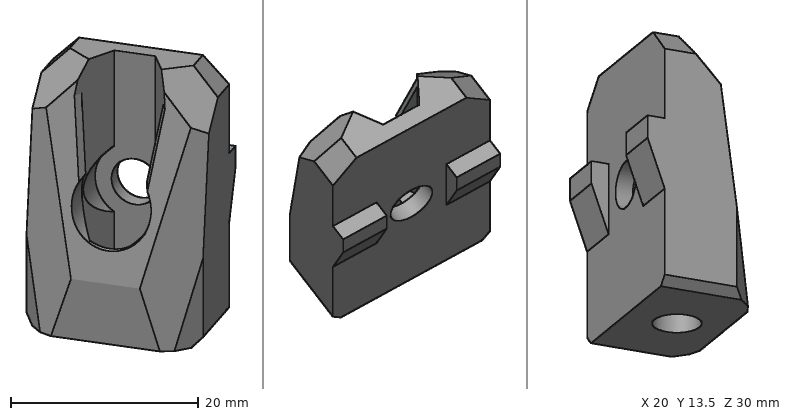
import cadquery as cq
import math

width = 20.0
height = 30.0
depth = 11.5
half_width = width / 2

top_chamfer = 3.0
bottom_chamfer = 1.0
front_chamfer = 3.0

slope_start_z = 7.02
slope_top_y = -6.0
front_half_width_bottom = 6.18
front_half_width_top = 3.9
flank_tip_z = 10.2

facet_top_y = -3.0
facet_inner_x = 4.1
facet_inner_y = -5.13
facet_side_y = -3.7

hex_flats = 8.0
hex_center_y = -6.0
hex_floor_z = 5.0
hex_corner_x = hex_flats / math.sqrt(3)
bolt_diameter = 5.3
cross_hole_z = 15.0
counterbore_diameter = 9.0
counterbore_seat_y = hex_center_y + hex_flats / 2

flare_draft_start_z = 26.3
flare_draft_angle = 13.5
flank_angle = 30.0

tab_width = 5.55
tab_depth = 13.5 - depth
tab_top_z = 19.0
tab_shoulder_z = 16.4
tab_bottom_z = 10.9

clearance = 6.0


def mirrored_pair(solid):
    return solid.union(solid.mirror("YZ"))


def half_space(point_a, point_b, point_c):
    """Large block beyond the plane through three points, on its -Y side."""
    a, b, c = cq.Vector(*point_a), cq.Vector(*point_b), cq.Vector(*point_c)
    normal = (b - a).cross(c - a)
    if normal.y > 0:
        normal = normal * -1
    plane = cq.Plane(origin=a, normal=normal)
    block_size = 4 * height
    return cq.Workplane(plane).rect(block_size, block_size).extrude(height)


def make_body():
    body = cq.Workplane("XY").box(width, depth, height, centered=(True, False, False))
    body = body.translate((0, -depth, 0))
    body = body.edges("|Y and >Z").chamfer(top_chamfer)
    body = body.edges("|Y and <Z").chamfer(bottom_chamfer)

    front_corner = (
        cq.Workplane("XY")
        .moveTo(half_width, -depth)
        .lineTo(half_width - front_chamfer, -depth)
        .lineTo(half_width, -depth + front_chamfer)
        .close()
        .extrude(height)
    )
    slope = half_space(
        (-half_width, -depth, slope_start_z),
        (half_width, -depth, slope_start_z),
        (0, slope_top_y, height),
    )
    flank = half_space(
        (front_half_width_bottom, -depth, 0),
        (front_half_width_top, -depth, slope_start_z),
        (half_width, -depth + front_chamfer, flank_tip_z),
    )
    facet = half_space(
        (half_width - top_chamfer, facet_top_y, height),
        (facet_inner_x, facet_inner_y, height),
        (half_width, facet_side_y, height - top_chamfer),
    )
    body = body.cut(slope)
    for cutter in (front_corner, flank, facet):
        body = body.cut(cutter).cut(cutter.mirror("YZ"))
    return body


def make_tabs():
    tab = (
        cq.Workplane("YZ", origin=(half_width - tab_width, 0, 0))
        .polyline([
            (0, tab_top_z),
            (tab_depth, tab_top_z),
            (tab_depth, tab_shoulder_z),
            (0, tab_bottom_z),
        ])
        .close()
        .extrude(tab_width)
    )
    return mirrored_pair(tab)


def flare_outline(inset):
    """Trapezoid opening toward -Y, with its sides in line with the hexagon's rear flanks."""
    rear_y = hex_center_y
    front_y = -depth - clearance
    rear_x = hex_corner_x - inset / math.cos(math.radians(flank_angle))
    front_x = rear_x + (rear_y - front_y) * math.tan(math.radians(flank_angle))
    return [(-rear_x, rear_y), (rear_x, rear_y), (front_x, front_y), (-front_x, front_y)]


def make_flare():
    upper = (
        cq.Workplane("XY", origin=(0, 0, flare_draft_start_z))
        .polyline(flare_outline(0))
        .close()
        .extrude(height - flare_draft_start_z)
    )
    draft_height = flare_draft_start_z - cross_hole_z
    draft_inset = draft_height * math.tan(math.radians(flare_draft_angle))
    lower = (
        cq.Workplane("XY", origin=(0, 0, cross_hole_z))
        .polyline(flare_outline(draft_inset))
        .close()
        .workplane(offset=draft_height)
        .polyline(flare_outline(0))
        .close()
        .loft(ruled=True)
    )
    return upper.union(lower)


def make_hex_pocket():
    pocket = (
        cq.Workplane("XY", origin=(0, hex_center_y, hex_floor_z))
        .polygon(6, 2 * hex_corner_x)
        .extrude(height - hex_floor_z)
    )
    shaft = (
        cq.Workplane("XY", origin=(0, hex_center_y, 0))
        .circle(bolt_diameter / 2)
        .extrude(height)
    )
    return pocket.union(shaft)


def make_cross_hole():
    hole = (
        cq.Workplane("XZ", origin=(0, 0, cross_hole_z))
        .circle(bolt_diameter / 2)
        .extrude(depth)
    )
    counterbore = (
        cq.Workplane("XZ", origin=(0, counterbore_seat_y, cross_hole_z))
        .circle(counterbore_diameter / 2)
        .extrude(depth)
    )
    return hole.union(counterbore)


result = (
    make_body()
    .union(make_tabs())
    .cut(make_flare())
    .cut(make_hex_pocket())
    .cut(make_cross_hole())
)